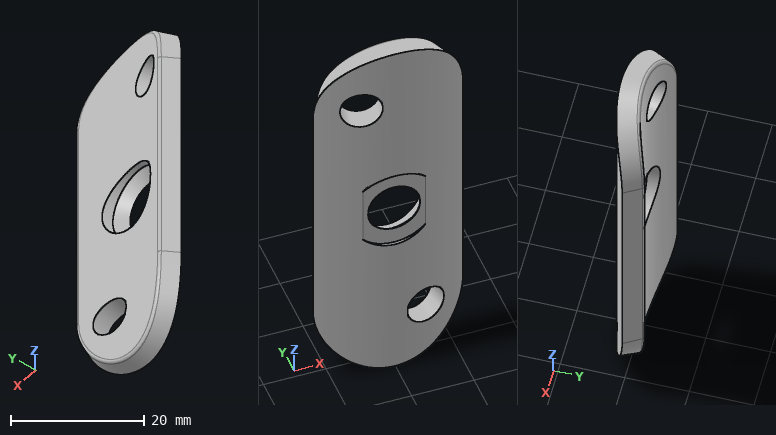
import cadquery as cq
import math

PLATE_WIDTH = 24.0
PLATE_HEIGHT = 64.0
OUTER_RADIUS = 24.0
THICKNESS = 3.6
INNER_EDGE_FILLET = 0.5

SEAT_DIAMETER = 14.0
SEAT_WIDTH = 10.0
BORE_DIAMETER = 8.3
BACK_BORE_DIAMETER = 12.0
BORE_LIP = 0.1

SCREW_HOLE_DIAMETER = 6.5
SCREW_HOLE_ANGLE = 12.5
SCREW_HOLE_HEIGHT = 21.5

SEAT_Y = -math.sqrt(OUTER_RADIUS**2 - (SEAT_WIDTH / 2) ** 2)
FLARE_LENGTH = (BACK_BORE_DIAMETER - BORE_DIAMETER) / 2


def y_cylinder(diameter, y_start, y_end):
    """Cylinder along Y through the plate centre, from y_start to y_end."""
    start = cq.Vector(0, y_start, 0)
    return cq.Workplane(obj=cq.Solid.makeCylinder(diameter / 2, y_end - y_start, start, cq.Vector(0, 1, 0)))


def curved_plate():
    """Obround patch of the outer cylinder, thickened towards the axis so its rim is radial."""
    cylinder = cq.Workplane("XY").circle(OUTER_RADIUS).extrude(PLATE_HEIGHT / 2, both=True)
    outline = cq.Workplane("XZ").slot2D(PLATE_HEIGHT, PLATE_WIDTH, 90).extrude(2 * OUTER_RADIUS)
    patch = cylinder.intersect(outline).faces("<Y").val()
    plate = cq.Workplane(obj=patch.thicken(-THICKNESS))
    return plate.faces("%CYLINDER").faces(">Y").edges().fillet(INNER_EDGE_FILLET)


def centre_cutter():
    """Flat seat and a bore that flares behind a thin lip into a wider bore open at the concave face."""
    seat = y_cylinder(SEAT_DIAMETER, -2 * OUTER_RADIUS, SEAT_Y)
    bore = y_cylinder(BORE_DIAMETER, -2 * OUTER_RADIUS, 0)
    flare_start = cq.Vector(0, SEAT_Y + BORE_LIP, 0)
    flare = cq.Solid.makeCone(
        BORE_DIAMETER / 2, BACK_BORE_DIAMETER / 2, FLARE_LENGTH, flare_start, cq.Vector(0, 1, 0)
    )
    back_bore = y_cylinder(BACK_BORE_DIAMETER, flare_start.y + FLARE_LENGTH, 0)
    return seat.union(bore).union(cq.Workplane(obj=flare)).union(back_bore)


def screw_hole(side):
    """Radial hole; side +1 is the lower right one, -1 the upper left one."""
    angle = math.radians(side * SCREW_HOLE_ANGLE)
    start = cq.Vector(0, 0, -side * SCREW_HOLE_HEIGHT)
    outward = cq.Vector(math.sin(angle), -math.cos(angle), 0)
    return cq.Workplane(obj=cq.Solid.makeCylinder(SCREW_HOLE_DIAMETER / 2, 2 * OUTER_RADIUS, start, outward))


result = curved_plate().cut(centre_cutter())
for hole_side in (-1, 1):
    result = result.cut(screw_hole(hole_side))